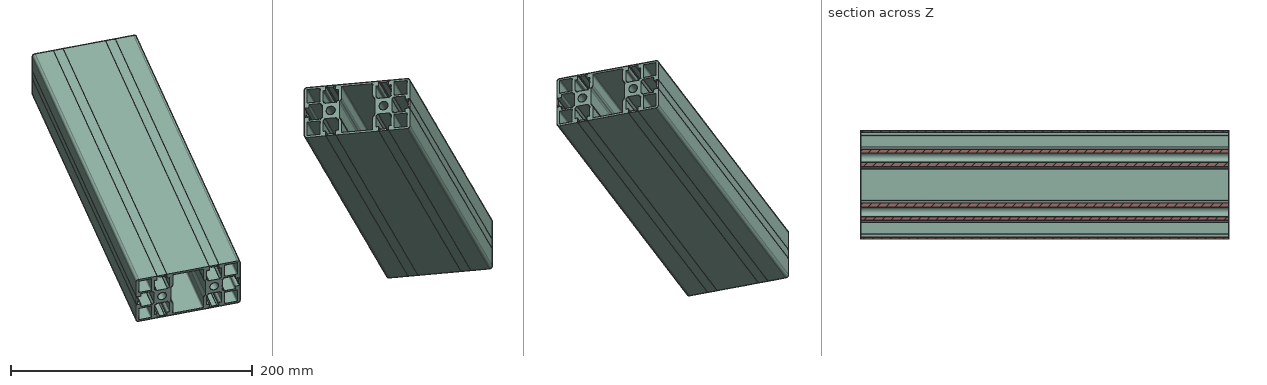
import cadquery as cq

length = 304.8
module = 45.0
width = 2 * module
height = module
corner_radius = 2.5

half_width = width / 2
half_height = height / 2
core_y = module / 2

skin = 1.8
side_wall = 2.4
hollow_radius = 0.7

bore_diameter = 7.5
core_half_width = 7.0
upright_slot_half_width = 6.5
slot_chamfer = 1.8
lip_opening_half_width = 4.2
lip_depth = 4.25
lip_radius = 0.5

cover_thickness = 1.6
web_thickness = 0.25
taper_width = 2.0

corner_cell_reach = 13.5
corner_cell_bottom = 8.6

cavity_half_width = 13.2
cavity_waist_half_width = 15.0
cavity_waist_half_height = 7.4
cavity_shoulder_height = 9.2
cavity_step_radius = 2.5


def section():
    """Work plane on the end face: local x is +Y, local y is +Z, extruding along +X."""
    return cq.Workplane("YZ", origin=(-length / 2, 0, 0))


def edges_at_height(z):
    """Selector for the edges lying at the given height."""
    margin = 0.1
    return cq.selectors.BoxSelector((-length, -width, z - margin), (length, width, z + margin))


def symmetric_prism(right_side):
    """Full-length prism whose outline is right_side plus its mirror image in Y."""
    left_side = [(-y, z) for y, z in reversed(right_side)]
    return section().polyline(right_side + left_side).close().extrude(length)


def make_blank():
    return section().rect(width, height).extrude(length).edges("|X").fillet(corner_radius)


def make_slot(slot_half_width):
    """T-slot above a core at the origin, closed at the top by its cover."""
    lip_bottom = half_height - lip_depth
    web_bottom = half_height - web_thickness
    cover_bottom = half_height - cover_thickness
    cover_half_width = lip_opening_half_width - taper_width
    slot = symmetric_prism([
        (slot_half_width - slot_chamfer, core_half_width),
        (slot_half_width, core_half_width + slot_chamfer),
        (slot_half_width, lip_bottom),
        (lip_opening_half_width, lip_bottom),
        (lip_opening_half_width, web_bottom),
        (cover_half_width, cover_bottom),
    ])
    return slot.edges("|X").edges(edges_at_height(lip_bottom)).fillet(lip_radius)


def make_corner_cell():
    """Rectangular hollow in the +Y +Z corner."""
    cell_width = corner_cell_reach - side_wall
    cell_height = half_height - skin - corner_cell_bottom
    center_y = half_width - side_wall - cell_width / 2
    center_z = corner_cell_bottom + cell_height / 2
    cell = section().center(center_y, center_z).rect(cell_width, cell_height).extrude(length)
    return cell.edges("|X").fillet(hollow_radius)


def make_central_cavity():
    """Tall middle hollow with rounded, sloping steps to its wider waist."""
    top = half_height - skin
    upper_right = [
        (cavity_waist_half_width, cavity_waist_half_height),
        (cavity_half_width, cavity_shoulder_height),
        (cavity_half_width, top),
    ]
    lower_right = [(y, -z) for y, z in reversed(upper_right)]
    cavity = symmetric_prism(lower_right + upper_right)
    corner_radii = {
        cavity_waist_half_height: cavity_step_radius,
        cavity_shoulder_height: cavity_step_radius,
        top: hollow_radius,
    }
    for z, radius in corner_radii.items():
        for level in (-z, z):
            cavity = cavity.edges("|X").edges(edges_at_height(level)).fillet(radius)
    return cavity


def make_end_hollows():
    """All hollows of the +Y half: three slots and a bore around the core, two corner cells."""
    upper_slot = make_slot(upright_slot_half_width)
    side_slot = make_slot(core_half_width).rotate((0, 0, 0), (1, 0, 0), -90)
    bore = section().circle(bore_diameter / 2).extrude(length)
    around_core = [upper_slot, upper_slot.mirror("XY"), side_slot, bore]
    hollows = [hollow.translate((0, core_y, 0)) for hollow in around_core]
    corner_cell = make_corner_cell()
    return hollows + [corner_cell, corner_cell.mirror("XY")]


result = make_blank().cut(make_central_cavity())
for end_hollow in make_end_hollows():
    result = result.cut(end_hollow).cut(end_hollow.mirror("XZ"))